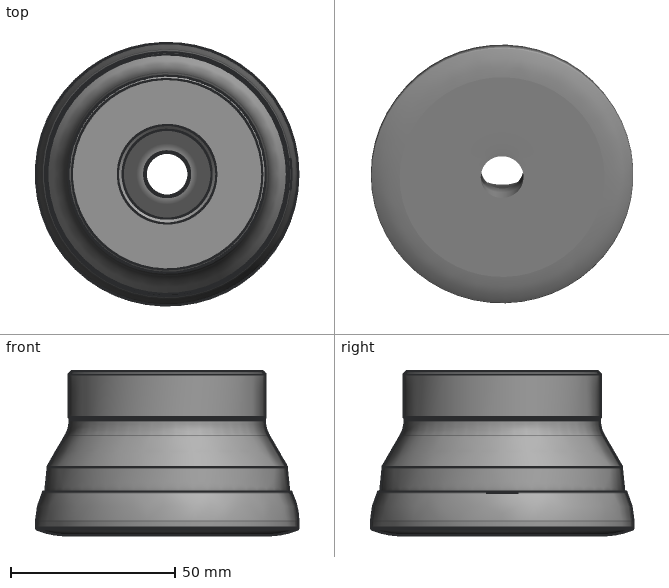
import cadquery as cq
import math

base_radius = 39.95
total_height = 50.0
joint_height = 13.35

sole_radius = 31.2
dome_rise = 1.8
dome_sag = 0.4
rim_chamfer = 0.2
rim_chamfer_height = 0.55
flank_start_height = 4.4
lip_radius = 37.9
lip_rounding = 0.5
flank_bulge = 0.5
screw_hole_diameter = 13.0
screw_hole_chamfer = 0.5

skirt_bottom_radius = 37.15
skirt_top_radius = 36.4
skirt_top_height = 20.3
skirt_edge_drop = 0.5
cone_angle = math.radians(30)
neck_radius = 59.5 / 2
neck_fillet_radius = 8.6
neck_fillet_top = 34.7
neck_top = 35.1
relief_radius = 29.6
collar_radius = 60.0 / 2
relief_height = 35.6
collar_edge_rise = 0.3
collar_chamfer = 1.0

bore_entry_diameter = 27.1
bore_diameter = 27.0
bore_entry_depth = 7.1
bore_mouth_diameter = 30.0


def revolve_profile(profile):
    """Turn a closed radius-height profile about the Z axis."""
    return profile.close().revolve(360, (0, 0, 0), (0, 1, 0))


def midpoint(start, end, radial_bulge, axial_bulge):
    """Point between two profile points, moved off their straight line."""
    return (
        (start[0] + end[0]) / 2 + radial_bulge,
        (start[1] + end[1]) / 2 + axial_bulge,
    )


def make_base():
    hole_radius = screw_hole_diameter / 2
    sole_edge = (sole_radius, 0)
    dome_edge = (base_radius - rim_chamfer, dome_rise)
    flank_bottom = (base_radius, flank_start_height)
    flank_top = (lip_radius, joint_height - lip_rounding)
    lip_middle = (
        lip_radius - lip_rounding * (1 - math.sqrt(0.5)),
        joint_height - lip_rounding * (1 - math.sqrt(0.5)),
    )
    profile = (
        cq.Workplane("XZ")
        .moveTo(hole_radius, 0)
        .lineTo(*sole_edge)
        .threePointArc(midpoint(sole_edge, dome_edge, 0, -dome_sag), dome_edge)
        .lineTo(base_radius, dome_rise + rim_chamfer_height)
        .lineTo(*flank_bottom)
        .threePointArc(midpoint(flank_bottom, flank_top, flank_bulge, 0), flank_top)
        .threePointArc(lip_middle, (lip_radius - lip_rounding, joint_height))
        .lineTo(hole_radius + screw_hole_chamfer, joint_height)
        .lineTo(hole_radius, joint_height - screw_hole_chamfer)
    )
    return revolve_profile(profile)


def make_housing():
    arc_center_radius = neck_radius + neck_fillet_radius

    def neck_arc_point(angle):
        return (
            arc_center_radius - neck_fillet_radius * math.cos(angle),
            neck_fillet_top - neck_fillet_radius * math.sin(angle),
        )

    cone_top = neck_arc_point(cone_angle)
    cone_bottom_height = skirt_top_height + skirt_edge_drop
    cone_bottom_radius = cone_top[0] + (cone_top[1] - cone_bottom_height) * math.tan(cone_angle)

    bore_radius = bore_diameter / 2
    entry_radius = bore_entry_diameter / 2
    mouth_radius = bore_mouth_diameter / 2
    mouth_depth = mouth_radius - entry_radius
    bore_step_height = total_height - bore_entry_depth

    profile = (
        cq.Workplane("XZ")
        .moveTo(bore_radius, joint_height)
        .lineTo(skirt_bottom_radius, joint_height)
        .lineTo(skirt_top_radius, skirt_top_height)
        .lineTo(cone_bottom_radius, cone_bottom_height)
        .lineTo(*cone_top)
        .threePointArc(neck_arc_point(cone_angle / 2), (neck_radius, neck_fillet_top))
        .lineTo(neck_radius, neck_top)
        .lineTo(relief_radius, relief_height)
        .lineTo(collar_radius, relief_height + collar_edge_rise)
        .lineTo(collar_radius, total_height - collar_chamfer)
        .lineTo(collar_radius - collar_chamfer, total_height)
        .lineTo(mouth_radius, total_height)
        .lineTo(entry_radius, total_height - mouth_depth)
        .lineTo(entry_radius, bore_step_height)
        .lineTo(bore_radius, bore_step_height)
    )
    return revolve_profile(profile)


base = make_base()
housing = make_housing()
result = cq.Compound.makeCompound([base.val(), housing.val()])